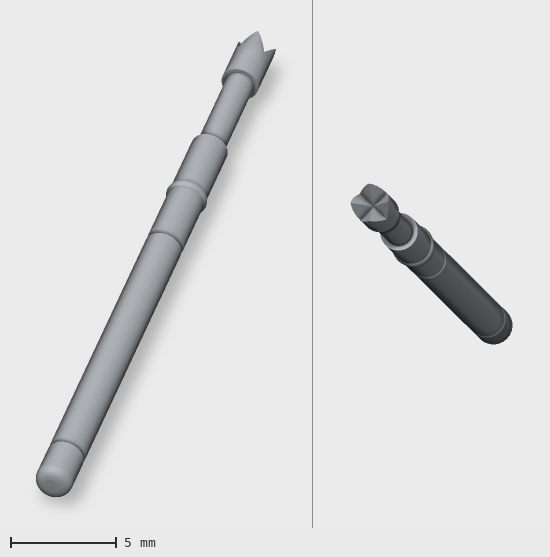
import cadquery as cq
import math

length = 34.0

barrel_diameter = 1.8
barrel_radius = barrel_diameter / 2
barrel_start = 8.0
tail_fillet = 0.5

stem_radius = 0.68
head_radius = barrel_radius
head_length = 3.0

ring_diameter = 2.0
ring_radius = ring_diameter / 2
ring_width = 0.48
ring_from_tip = 11.75

groove_width = 0.4
groove_depth = groove_width / 2
grooves_from_tip = (15.4, 31.5)

crown_angle = 60.0
crown_cut_directions = (45, 135)
trough_half_width = head_radius
trough_slope = 1 / math.tan(math.radians(crown_angle / 2))
tooth_height = head_radius * math.sin(math.radians(45)) * trough_slope

tip_y = length / 2


def cylinder(radius, start, end):
    """Cylinder along Y between two distances from the tip."""
    face_y = tip_y - start
    return cq.Workplane("XZ", origin=(0, face_y, 0)).circle(radius).extrude(end - start)


def barrel():
    """Solid barrel with a rounded tail."""
    body = cylinder(barrel_radius, barrel_start, length)
    return body.faces("<Y").edges().fillet(tail_fillet)


def press_ring():
    """Band with an arched outer surface that meets the barrel at both sides."""
    y = tip_y - ring_from_tip
    half = ring_width / 2
    profile = (
        cq.Workplane("XY")
        .moveTo(0, y - half)
        .lineTo(barrel_radius, y - half)
        .threePointArc((ring_radius, y), (barrel_radius, y + half))
        .lineTo(0, y + half)
        .close()
    )
    return profile.revolve(360, (0, 0, 0), (0, 1, 0))


def crimp_groove(from_tip):
    """Triangular ring to be cut out of the barrel."""
    y = tip_y - from_tip
    half = groove_width / 2
    profile = cq.Workplane("XY").polyline([
        (barrel_radius, y - half),
        (barrel_radius - groove_depth, y),
        (barrel_radius, y + half),
    ]).close()
    return profile.revolve(360, (0, 0, 0), (0, 1, 0))


def crown_cut(direction):
    """V-shaped trough across the head; two crossing troughs leave a point midway between them."""
    root_y = tip_y - tooth_height
    top_y = root_y + trough_half_width * trough_slope
    trough = (
        cq.Workplane("XY")
        .polyline([
            (0, root_y),
            (trough_half_width, top_y),
            (-trough_half_width, top_y),
        ])
        .close()
        .extrude(head_radius, both=True)
    )
    return trough.rotate((0, 0, 0), (0, 1, 0), direction)


def plunger():
    """Crown head on its thinner stem, reaching to the barrel."""
    head = cylinder(head_radius, 0, head_length)
    for direction in crown_cut_directions:
        head = head.cut(crown_cut(direction))
    return head.union(cylinder(stem_radius, head_length, barrel_start))


result = barrel().union(press_ring())
for from_tip in grooves_from_tip:
    result = result.cut(crimp_groove(from_tip))
result = result.union(plunger())